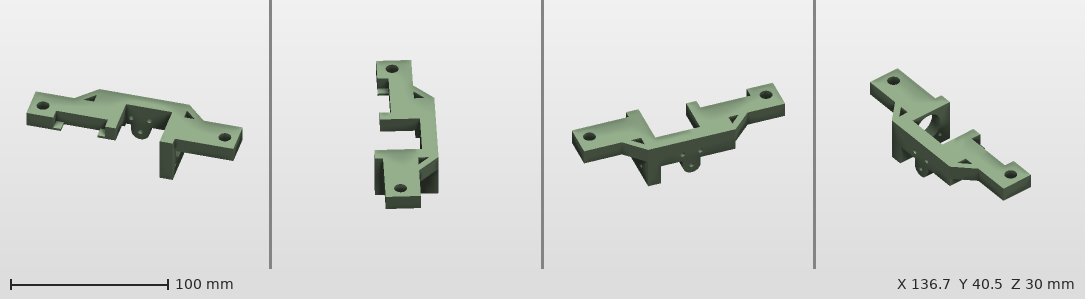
import cadquery as cq

length = 136.7
depth = 40.5
height = 30.0

arm_thickness = 10.0
arm_back_y = -13.0
arm_front_y = -35.4
bridge_left_x = 38.5
bridge_right_x = 98.0
bridge_thickness = 16.0
brace_run = -arm_back_y
brace_window_leg = 7.0
mount_hole_diameter = 8.2
mount_hole_inset = 8.3
mount_hole_y = -25.5

bay_left_x = 58.9
bay_right_x = 89.4
bay_back_y = -10.1

notch_left_x = 17.8
notch_right_x = 52.0
notch_depth = 7.1
ledge_width = 5.0
ledge_thickness = 1.6

small_hole_diameter = 3.1
tab_radius = 6.0
tab_center_x = 68.4
tab_center_z = -20.8
upper_hole_z = -10.7

bore_diameter = 20.0
bore_y = -22.8
bore_z = -12.6
screw_offset = 10.0


def block(x_start, x_end, y_front, y_back, z_bottom, z_top):
    """Box given by its limits along each axis."""
    return cq.Workplane("XY").box(
        x_end - x_start, y_back - y_front, z_top - z_bottom, centered=False
    ).translate((x_start, y_front, z_bottom))


def y_cylinder(x, z, diameter):
    """Cylinder through the back wall, along Y."""
    return cq.Workplane("XZ").center(x, z).circle(diameter / 2).extrude(-bay_back_y)


def x_cylinder(y, z, diameter):
    """Cylinder through the motor plate, along X."""
    plate = cq.Workplane("YZ", origin=(bay_right_x, 0, 0))
    return plate.center(y, z).circle(diameter / 2).extrude(bridge_right_x - bay_right_x)


def make_frame():
    """Both arms joined by the braced bridge."""
    frame = (
        cq.Workplane("XY")
        .moveTo(0, arm_front_y)
        .lineTo(length, arm_front_y)
        .lineTo(length, arm_back_y)
        .lineTo(bridge_right_x + brace_run, arm_back_y)
        .lineTo(bridge_right_x, 0)
        .lineTo(bridge_left_x, 0)
        .lineTo(bridge_left_x - brace_run, arm_back_y)
        .lineTo(0, arm_back_y)
        .close()
        .extrude(-arm_thickness)
    )
    thick_bridge = block(bridge_left_x, bridge_right_x, arm_back_y, 0, -bridge_thickness, 0)
    bay = block(bay_left_x, bay_right_x, -depth, bay_back_y, -height, 0)
    frame = frame.union(thick_bridge).cut(bay)

    for corner_x, outward in ((bridge_left_x, -1), (bridge_right_x, 1)):
        window = (
            cq.Workplane("XY")
            .moveTo(corner_x, arm_back_y)
            .lineTo(corner_x + outward * brace_window_leg, arm_back_y)
            .lineTo(corner_x, arm_back_y + brace_window_leg)
            .close()
            .extrude(-arm_thickness)
        )
        frame = frame.cut(window)

    mount_points = [(mount_hole_inset, mount_hole_y), (length - mount_hole_inset, mount_hole_y)]
    mount_holes = (
        cq.Workplane("XY").pushPoints(mount_points).circle(mount_hole_diameter / 2).extrude(-arm_thickness)
    )
    return frame.cut(mount_holes)


def make_notch():
    """Notch volume, narrower at the bottom where the ledges remain."""
    notch_back_y = arm_front_y + notch_depth
    ledge_top_z = ledge_thickness - arm_thickness
    upper = block(notch_left_x, notch_right_x, arm_front_y, notch_back_y, ledge_top_z, 0)
    gap = block(
        notch_left_x + ledge_width, notch_right_x - ledge_width,
        arm_front_y, notch_back_y, -arm_thickness, 0,
    )
    return upper.union(gap)


def make_tab():
    """Round-ended tab hanging below the back wall."""
    shank = block(
        tab_center_x - tab_radius, tab_center_x + tab_radius,
        bay_back_y, 0, tab_center_z, -arm_thickness,
    )
    return shank.union(y_cylinder(tab_center_x, tab_center_z, 2 * tab_radius))


def make_motor_plate():
    """Upright plate with a large bore and two screw holes."""
    plate = block(bay_right_x, bridge_right_x, -depth, 0, -height, 0)
    plate = plate.cut(x_cylinder(bore_y, bore_z, bore_diameter))
    for side in (-1, 1):
        screw_hole = x_cylinder(bore_y + side * screw_offset, bore_z - screw_offset, small_hole_diameter)
        plate = plate.cut(screw_hole)
    return plate


plate_slot = block(bay_right_x, bridge_right_x, -depth, 0, -height, 0)
result = make_frame().cut(make_notch()).union(make_tab()).cut(plate_slot).union(make_motor_plate())

for hole_x, hole_z in (
    (tab_center_x - tab_radius, upper_hole_z),
    (tab_center_x + tab_radius, upper_hole_z),
    (tab_center_x, tab_center_z),
):
    result = result.cut(y_cylinder(hole_x, hole_z, small_hole_diameter))